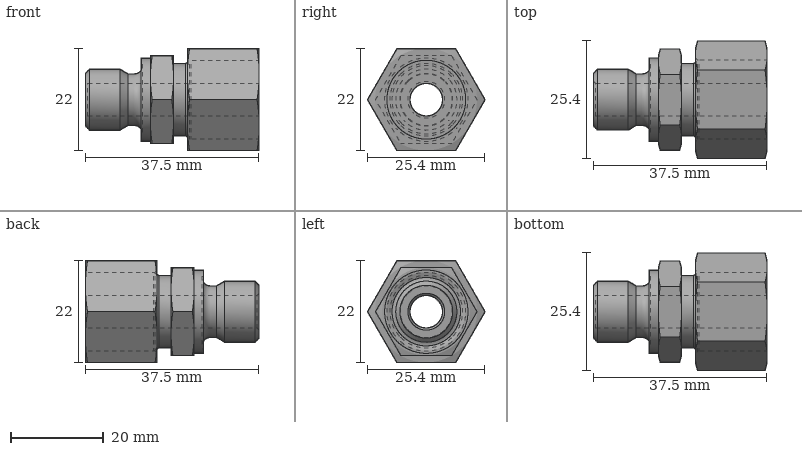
import cadquery as cq
import math

TOTAL_LENGTH = 37.5
BORE_RADIUS = 3.5
BORE_CHAMFER = 0.5

STUD_RADIUS = 6.6
STUD_TIP_CHAMFER = 0.9
STUD_THREAD_END = 7.5
RELIEF_RADIUS = 5.6
RELIEF_START = 9.22
RELIEF_END = 10.55

COLLAR_RADIUS = 9.0
COLLAR_START = 12.0
SEAL_EDGE_RADIUS = 8.48
DISH_ROOT_RADIUS = 7.4
RELIEF_FILLET = DISH_ROOT_RADIUS - RELIEF_RADIUS
DISH_ROOT_X = RELIEF_END + RELIEF_FILLET

BODY_HEX_FLATS = 18.98
BODY_HEX_START = 14.02
BODY_HEX_END = 19.0

NECK_RADIUS = 7.85
NECK_END = 21.65
FLARE_ANGLE = 30.0
SPIGOT_RADIUS = 8.5
FLARE_END = NECK_END + (SPIGOT_RADIUS - NECK_RADIUS) / math.tan(math.radians(FLARE_ANGLE))

NUT_START = 22.0
NUT_HEX_FLATS = 22.0
NUT_MOUTH_RADIUS = 9.0
NUT_MOUTH_ANGLE = 45.0

HEX_SIDES = 6
HEX_CHAMFER_ANGLE = 15.0


def revolve_about_x(half_outline):
    """Close a half outline drawn above the X axis and turn it into a solid of revolution."""
    return half_outline.close().revolve(360, (0, 0, 0), (1, 0, 0))


def chamfered_hex(flats, start, end):
    """Hexagonal prism along X, flats facing +Z and -Z, both ends coned down to the inscribed circle."""
    flat_radius = flats / 2
    corner_radius = flat_radius / math.cos(math.pi / HEX_SIDES)
    chamfer = (corner_radius - flat_radius) * math.tan(math.radians(HEX_CHAMFER_ANGLE))
    prism = (
        cq.Workplane("YZ")
        .workplane(offset=start)
        .polygon(HEX_SIDES, 2 * corner_radius)
        .extrude(end - start)
    )
    envelope = revolve_about_x(
        cq.Workplane("XY")
        .moveTo(start, 0)
        .lineTo(start, flat_radius)
        .lineTo(start + chamfer, corner_radius)
        .lineTo(end - chamfer, corner_radius)
        .lineTo(end, flat_radius)
        .lineTo(end, 0)
    )
    return prism.intersect(envelope)


def turned_blank():
    """All round features of the fitting, from the stud tip to the end of the spigot."""
    fillet_mid_x = RELIEF_END + RELIEF_FILLET * math.sqrt(0.5)
    fillet_mid_radius = DISH_ROOT_RADIUS - RELIEF_FILLET * math.sqrt(0.5)
    return revolve_about_x(
        cq.Workplane("XY")
        .moveTo(0, 0)
        .lineTo(0, STUD_RADIUS - STUD_TIP_CHAMFER)
        .lineTo(STUD_TIP_CHAMFER, STUD_RADIUS)
        .lineTo(STUD_THREAD_END, STUD_RADIUS)
        .lineTo(RELIEF_START, RELIEF_RADIUS)
        .lineTo(RELIEF_END, RELIEF_RADIUS)
        .threePointArc((fillet_mid_x, fillet_mid_radius), (DISH_ROOT_X, DISH_ROOT_RADIUS))
        .lineTo(COLLAR_START, SEAL_EDGE_RADIUS)
        .lineTo(COLLAR_START, COLLAR_RADIUS)
        .lineTo(BODY_HEX_START, COLLAR_RADIUS)
        .lineTo(BODY_HEX_START, NECK_RADIUS)
        .lineTo(NECK_END, NECK_RADIUS)
        .lineTo(FLARE_END, SPIGOT_RADIUS)
        .lineTo(TOTAL_LENGTH, SPIGOT_RADIUS)
        .lineTo(TOTAL_LENGTH, 0)
    )


def through_bore():
    """Straight bore along the whole fitting with a chamfered mouth at the stud tip."""
    return revolve_about_x(
        cq.Workplane("XY")
        .moveTo(0, 0)
        .lineTo(0, BORE_RADIUS + BORE_CHAMFER)
        .lineTo(BORE_CHAMFER, BORE_RADIUS)
        .lineTo(TOTAL_LENGTH, BORE_RADIUS)
        .lineTo(TOTAL_LENGTH, 0)
    )


def make_fitting():
    """Stud fitting: turned blank with its hexagon, bored through."""
    hexagon = chamfered_hex(BODY_HEX_FLATS, BODY_HEX_START, BODY_HEX_END)
    return turned_blank().union(hexagon).cut(through_bore())


def nut_hole():
    """Hole filled by the spigot, with a countersunk mouth on the side facing the fitting's hexagon."""
    mouth_depth = (NUT_MOUTH_RADIUS - SPIGOT_RADIUS) / math.tan(math.radians(NUT_MOUTH_ANGLE))
    return revolve_about_x(
        cq.Workplane("XY")
        .moveTo(NUT_START, 0)
        .lineTo(NUT_START, NUT_MOUTH_RADIUS)
        .lineTo(NUT_START + mouth_depth, SPIGOT_RADIUS)
        .lineTo(TOTAL_LENGTH, SPIGOT_RADIUS)
        .lineTo(TOTAL_LENGTH, 0)
    )


def make_nut():
    """Union nut with the spigot's hole cut right through it."""
    return chamfered_hex(NUT_HEX_FLATS, NUT_START, TOTAL_LENGTH).cut(nut_hole())


fitting = make_fitting()
nut = make_nut()
result = cq.Compound.makeCompound([fitting.val(), nut.val()])